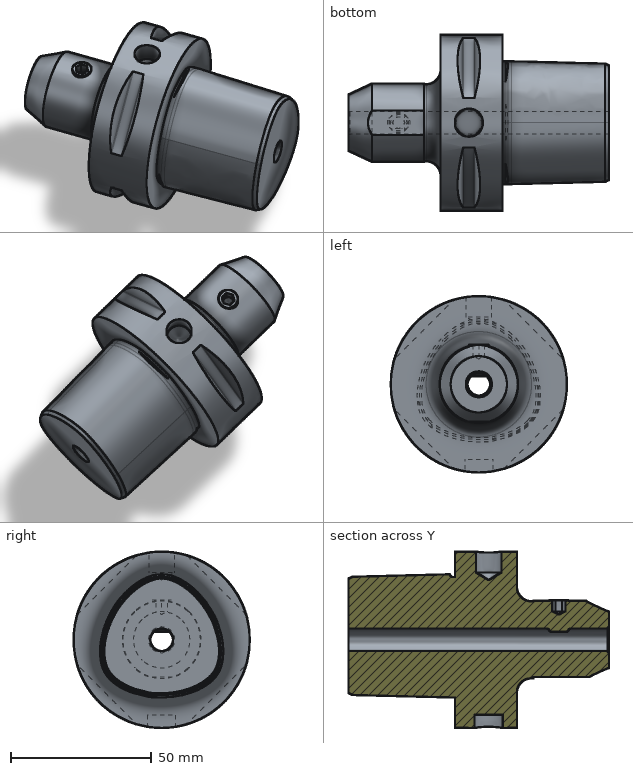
import cadquery as cq
import math

length = 93.0

nose_tip_dia = 20.1
nose_dia = 28.0
groove_dia = 27.6
cone_end = 8.5
groove_start = 27.0
nose_flat_z = -13.3

flange_dia = 63.0
flange_start = 32.8
flange_end = 55.1
neck_radius = 5.0

land_width = 44.0
land_radius = land_width / 2
lobe_height = 1.4
lobe_count = 3
land_end = 56.9
taper_start = 58.1
edge_start = length - 1.5
taper_slope = 1 / 40
edge_setback = 0.7
relief_radius = 22.4
relief_length = 1.0

bore_dia = 8.0
bore_mouth_dia = 9.3

screw_x = 17.95
screw_dia = 8.0
screw_top_z = 14.1
screw_top_dia = 6.7
screw_cone_height = 1.1
screw_tip_z = 2.8
screw_tip_dia = 5.8
screw_tip_height = 1.1
hex_flats = 4.0
hex_depth = 4.0
hex_cone_depth = 1.1

slot_x = 43.0
slot_floor_radius = 27.6
slot_floor_width = 4.0
slot_mouth_width = 8.1
slot_corner_radius = 0.3
slot_angles = (45, 135, 225, 315)
drill_dia = 9.0
drill_depth = 7.4
drill_point_angle = 118
chip_pocket_dia = 10.0
chip_pocket_depth = 4.65

flange_radius = flange_dia / 2


def turned_body():
    """Nose, shallow groove, neck radius and flange turned about X."""
    groove_radius = groove_dia / 2
    return (
        cq.Workplane("XY")
        .moveTo(0, 0)
        .lineTo(0, nose_tip_dia / 2)
        .lineTo(cone_end, nose_dia / 2)
        .lineTo(groove_start, nose_dia / 2)
        .lineTo(groove_start, groove_radius)
        .lineTo(flange_start - neck_radius, groove_radius)
        .radiusArc((flange_start, groove_radius + neck_radius), -neck_radius)
        .lineTo(flange_start, flange_radius)
        .lineTo(flange_end, flange_radius)
        .lineTo(flange_end, 0)
        .close()
        .revolve(360, (0, 0, 0), (1, 0, 0))
    )


def lobed_wire(x, mean_radius):
    """Closed three-lobed section at X = x, split at the middle of its flat sides."""

    def point(angle):
        phase = lobe_count * (angle - math.pi / 2)
        support = mean_radius + lobe_height * math.cos(phase)
        slope = -lobe_count * lobe_height * math.sin(phase)
        y = support * math.cos(angle) - slope * math.sin(angle)
        z = support * math.sin(angle) + slope * math.cos(angle)
        return cq.Vector(x, y, z)

    def tangent(angle):
        return cq.Vector(0, -math.sin(angle), math.cos(angle))

    span = 2 * math.pi / lobe_count
    steps = 12
    edges = []
    for lobe in range(lobe_count):
        start = math.pi / 2 + (lobe + 1 / 2) * span
        points = [point(start + span * i / steps) for i in range(steps + 1)]
        ends = [tangent(start), tangent(start + span)]
        edges.append(cq.Edge.makeSpline(points, tangents=ends))
    return cq.Wire.assembleEdges(edges)


def lobed_section(x_start, radius_start, x_end, radius_end):
    wires = [lobed_wire(x_start, radius_start), lobed_wire(x_end, radius_end)]
    return cq.Workplane(cq.Solid.makeLoft(wires, True))


def relief_ring():
    """Ring that trims the lobes next to the flange."""
    lobe_radius = land_radius + lobe_height
    return (
        cq.Workplane("XY")
        .moveTo(flange_end, relief_radius)
        .lineTo(flange_end + relief_length, relief_radius)
        .lineTo(land_end, lobe_radius)
        .lineTo(land_end, flange_radius)
        .lineTo(flange_end, flange_radius)
        .close()
        .revolve(360, (0, 0, 0), (1, 0, 0))
    )


def shank():
    lead_radius = land_radius - (taper_start - land_end) * taper_slope / 2
    edge_radius = lead_radius - (edge_start - taper_start) * taper_slope
    land = lobed_section(flange_end, land_radius, land_end, land_radius).cut(relief_ring())
    lead = lobed_section(land_end, land_radius, taper_start, lead_radius)
    taper = lobed_section(taper_start, lead_radius, edge_start, edge_radius)
    edge = lobed_section(edge_start, edge_radius, length, edge_radius - edge_setback)
    return land.union(lead).union(taper).union(edge)


def nose_flat():
    """Block removed below the nose to leave its flat underside."""
    return (
        cq.Workplane("XY", origin=(0, 0, nose_flat_z - nose_dia))
        .box(groove_start, nose_dia, nose_dia, centered=(False, True, False))
    )


def bore():
    mouth_depth = (bore_mouth_dia - bore_dia) / 2
    mouth = cq.Solid.makeCone(
        bore_mouth_dia / 2, bore_dia / 2, mouth_depth, cq.Vector(0, 0, 0), cq.Vector(1, 0, 0)
    )
    return cq.Workplane("YZ").circle(bore_dia / 2).extrude(length).union(cq.Workplane(mouth))


def clamping_screw():
    """Screw body with tapered ends, standing slightly proud of the nose."""
    body = (
        cq.Workplane("XZ")
        .moveTo(0, screw_tip_z)
        .lineTo(screw_tip_dia / 2, screw_tip_z)
        .lineTo(screw_dia / 2, screw_tip_z + screw_tip_height)
        .lineTo(screw_dia / 2, screw_top_z - screw_cone_height)
        .lineTo(screw_top_dia / 2, screw_top_z)
        .lineTo(0, screw_top_z)
        .close()
        .revolve(360, (0, 0, 0), (0, 1, 0))
    )
    return body.translate((screw_x, 0, 0))


def hex_socket():
    """Hexagon socket of the screw, with a conical bottom."""
    hex_corners = hex_flats / math.cos(math.pi / 6)
    bottom = cq.Solid.makeCone(
        hex_flats / 2,
        0,
        hex_cone_depth,
        cq.Vector(screw_x, 0, screw_top_z - hex_depth),
        cq.Vector(0, 0, -1),
    )
    return (
        cq.Workplane("XY", origin=(screw_x, 0, screw_top_z))
        .polygon(6, hex_corners)
        .extrude(-hex_depth)
        .union(cq.Workplane(bottom))
    )


def flange_slot(angle):
    """Straight slot with flared walls, cut across the rim at the given angle about X."""
    depth = flange_radius - slot_floor_radius
    flare = (slot_mouth_width - slot_floor_width) / 2
    half_floor = slot_floor_width / 2
    half_top = half_floor + 2 * flare
    cutter = (
        cq.Workplane("XZ")
        .polyline([
            (-half_floor, 0),
            (half_floor, 0),
            (half_top, 2 * depth),
            (-half_top, 2 * depth),
        ])
        .close()
        .extrude(flange_radius, both=True)
        .edges("<Z and |Y")
        .fillet(slot_corner_radius)
    )
    return cutter.translate((slot_x, 0, slot_floor_radius)).rotate((0, 0, 0), (1, 0, 0), angle)


def drilled_hole():
    """Blind hole with a drill point in the top of the rim."""
    radius = drill_dia / 2
    point_depth = radius / math.tan(math.radians(drill_point_angle / 2))
    bottom = flange_radius - drill_depth
    return (
        cq.Workplane("XZ")
        .moveTo(0, bottom - point_depth)
        .lineTo(radius, bottom)
        .lineTo(radius, flange_radius)
        .lineTo(0, flange_radius)
        .close()
        .revolve(360, (0, 0, 0), (0, 1, 0))
        .translate((slot_x, 0, 0))
    )


def chip_pocket():
    """Flat-bottomed round pocket in the underside of the rim."""
    return (
        cq.Workplane("XY", origin=(slot_x, 0, -flange_radius))
        .circle(chip_pocket_dia / 2)
        .extrude(chip_pocket_depth)
    )


result = turned_body().cut(nose_flat()).union(shank())
result = result.cut(bore()).union(clamping_screw()).cut(hex_socket())
for slot_angle in slot_angles:
    result = result.cut(flange_slot(slot_angle))
result = result.cut(drilled_hole()).cut(chip_pocket())